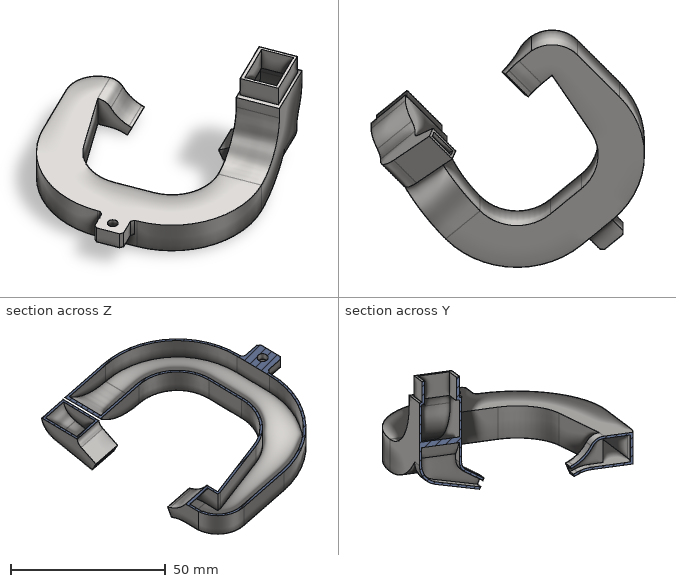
import cadquery as cq
import math


ring_half_width = 37.9
ring_height = 11.0
arm_width = 15.0
bend_radius = 31.1
inner_bend_radius = bend_radius - arm_width
bend_center_x = ring_half_width - bend_radius
arm_back = 31.4
arm_inner_x = ring_half_width - arm_width
wall = 1.0

tip_radius = 11.0
tip_x = -ring_half_width + tip_radius
tip_front = arm_back - tip_radius

tower_back = 35.9
sweep_radius = 15.85
tower_front = sweep_radius
collar_height = 4.1
collar_top = sweep_radius + collar_height
back_bulge_share = 2 / 3

neck_height = 7.05
neck_width = 13.3
neck_depth = 16.8
neck_side_step = 0.75
neck_x = arm_inner_x + neck_side_step + neck_width / 2
bore_width = 11.0
bore_depth = 14.85
bore_x = (arm_inner_x + ring_half_width) / 2

vane_thickness = 0.8
vane_inner_radius = sweep_radius + ring_height - wall
vane_outer_radius = vane_inner_radius + vane_thickness

outlet_angle = math.radians(23)
outlet_height = 4.0
outlet_low_x = 16.6
nozzle_drop = 1.5
outlet_low_z = -ring_height - nozzle_drop
outlet_high_x = outlet_low_x - outlet_height * math.sin(outlet_angle)
outlet_high_z = outlet_low_z + outlet_height * math.cos(outlet_angle)
left_crown_radius = 5.2
left_steepest_angle = math.radians(60)
left_underside_radius = 11.4
left_lip_length = 1.05
right_roof_angle = math.radians(31)
right_roof_radius = 3.5
right_floor_radius = 7.6

tab_width = 10.0
tab_length = 7.95
tab_thickness = 6.0
tab_chamfer = 1.0
hole_diameter = 3.3
hole_depth = 5.0
hole_distance = 3.9
hole_y = -bend_radius - hole_distance


def box(x_range, y_range, z_range):
    """Axis-aligned box between the given limits."""
    size = [high - low for low, high in (x_range, y_range, z_range)]
    corner = (x_range[0], y_range[0], z_range[0])
    return cq.Workplane("XY").box(*size, centered=False).translate(corner)


def along_x(profile, x_start, x_end):
    """Extrude a YZ profile between two X positions."""
    return profile.extrude(x_end - x_start).translate((x_start, 0, 0))


def along_y(profile, y_start, y_end):
    """Extrude an XZ profile between two Y positions."""
    return profile.extrude(y_start - y_end).translate((0, y_start, 0))


def polar(center, radius, angle):
    """Point on a circle, with the angle in radians."""
    return (center[0] + radius * math.cos(angle), center[1] + radius * math.sin(angle))


def ring_outline(inset):
    """Plan of the C moved inward by the inset; the left arm slants, tangent to the inner bend."""
    left_center = (-bend_center_x, 0)
    right_center = (bend_center_x, 0)
    tip_center = (tip_x, tip_front)
    to_tip = math.atan2(tip_front, tip_x + bend_center_x)
    tangent_angle = to_tip + math.acos(inner_bend_radius / math.dist(tip_center, left_center))
    mid_angle = (tangent_angle + 1.5 * math.pi) / 2
    diagonal = math.radians(45)
    side_x = ring_half_width - inset
    inner_x = arm_inner_x + inset
    back = arm_back - inset
    outer_radius = bend_radius - inset
    inner_radius = inner_bend_radius + inset
    corner_radius = tip_radius - inset
    return (
        cq.Workplane("XY")
        .moveTo(side_x, back)
        .lineTo(side_x, 0)
        .threePointArc(polar(right_center, outer_radius, -diagonal), (bend_center_x, -outer_radius))
        .lineTo(-bend_center_x, -outer_radius)
        .threePointArc(polar(left_center, outer_radius, 5 * diagonal), (-side_x, 0))
        .lineTo(-side_x, tip_front)
        .threePointArc(polar(tip_center, corner_radius, 3 * diagonal), (tip_x, back))
        .lineTo(*polar(tip_center, inset, tangent_angle))
        .lineTo(*polar(left_center, inner_radius, tangent_angle))
        .threePointArc(polar(left_center, inner_radius, mid_angle), (-bend_center_x, -inner_radius))
        .lineTo(bend_center_x, -inner_radius)
        .threePointArc(polar(right_center, inner_radius, -diagonal), (inner_x, 0))
        .lineTo(inner_x, back)
        .close()
    )


def tower_profile(front, bottom):
    """Side shape of the tower: S-curved back, quarter-round front sweeping into the ring."""
    back_step = tower_back - arm_back
    turn = 2 * math.atan2(back_step, sweep_radius)
    radius_sum = sweep_radius / math.sin(turn)
    upper_radius = radius_sum * back_bulge_share
    lower_radius = radius_sum - upper_radius
    upper_center = (tower_back - upper_radius, sweep_radius)
    lower_center = (arm_back + lower_radius, 0)
    outline = (
        cq.Workplane("YZ")
        .moveTo(tower_back, collar_top)
        .lineTo(tower_back, sweep_radius)
        .threePointArc(polar(upper_center, upper_radius, -turn / 2), polar(upper_center, upper_radius, -turn))
        .threePointArc(polar(lower_center, lower_radius, math.pi - turn / 2), (arm_back, 0))
        .lineTo(arm_back, bottom)
        .lineTo(front, bottom)
        .lineTo(front, 0)
    )
    if front < 0:
        outline = outline.lineTo(0, 0)
    return (
        outline
        .threePointArc(polar((0, sweep_radius), sweep_radius, math.radians(-45)), (tower_front, sweep_radius))
        .lineTo(tower_front, collar_top)
        .close()
    )


def left_nozzle_profile(root_x, extension):
    """Left nozzle: rounded crown, hollow slope and underside bending down to the outlet."""
    high = (-outlet_high_x, outlet_high_z)
    low = (-outlet_low_x, outlet_low_z)
    lip_start = polar(high, -left_lip_length, -outlet_angle)
    crown_center = (tip_x, -left_crown_radius)
    crown_end = polar(crown_center, left_crown_radius, math.pi / 2 - left_steepest_angle)
    bend_run = left_underside_radius * math.sin(outlet_angle)
    bend_drop = left_underside_radius * (1 - math.cos(outlet_angle))
    straight_run = (nozzle_drop - bend_drop) / math.tan(outlet_angle)
    bend_start = -outlet_low_x - straight_run - bend_run
    bend_center = (bend_start, -ring_height - left_underside_radius)
    bend_mid = polar(bend_center, left_underside_radius, (math.pi - outlet_angle) / 2)
    bend_end = polar(bend_center, left_underside_radius, math.pi / 2 - outlet_angle)
    crown_mid = polar(crown_center, left_crown_radius, (math.pi - left_steepest_angle) / 2)
    return (
        cq.Workplane("XZ")
        .moveTo(root_x, 0)
        .lineTo(tip_x, 0)
        .threePointArc(crown_mid, crown_end)
        .tangentArcPoint(lip_start, relative=False)
        .lineTo(*polar(high, extension, -outlet_angle))
        .lineTo(*polar(low, extension, -outlet_angle))
        .lineTo(*bend_end)
        .threePointArc(bend_mid, (bend_start, -ring_height))
        .lineTo(root_x, -ring_height)
        .close()
    )


def right_nozzle_profile(top, extension):
    """Right nozzle with the column above it: sloped roof rounded into the inner side of the arm."""
    floor_angle = math.atan2(nozzle_drop, arm_inner_x - outlet_low_x)
    roof_reach = extension / math.cos(right_roof_angle - outlet_angle)
    floor_reach = extension / math.cos(outlet_angle - floor_angle)
    roof_tip = polar((outlet_high_x, outlet_high_z), -roof_reach, right_roof_angle)
    floor_tip = polar((outlet_low_x, outlet_low_z), -floor_reach, floor_angle)
    roof_corner_z = outlet_high_z + (arm_inner_x - outlet_high_x) * math.tan(right_roof_angle)
    floor_corner_z = outlet_low_z + (ring_half_width - outlet_low_x) * math.tan(floor_angle)
    roof_setback = right_roof_radius * math.tan((math.pi / 2 - right_roof_angle) / 2)
    floor_setback = right_floor_radius * math.tan((math.pi / 2 - floor_angle) / 2)
    roof_end = polar((arm_inner_x, roof_corner_z), -roof_setback, right_roof_angle)
    floor_end = polar((ring_half_width, floor_corner_z), -floor_setback, floor_angle)
    return (
        cq.Workplane("XZ")
        .moveTo(*floor_tip)
        .lineTo(*roof_tip)
        .lineTo(*roof_end)
        .tangentArcPoint((arm_inner_x, roof_corner_z + roof_setback), relative=False)
        .lineTo(arm_inner_x, top)
        .lineTo(ring_half_width, top)
        .lineTo(ring_half_width, floor_corner_z + floor_setback)
        .tangentArcPoint(floor_end, relative=False)
        .close()
    )


def mounting_tab():
    """Flat lug on the front of the ring, flared at its root and chamfered at its end."""
    half = tab_width / 2
    root = -bend_radius
    end = root - tab_length
    right_side = [
        (half + tab_chamfer, root),
        (half, root - tab_chamfer),
        (half, end + tab_chamfer),
        (half - tab_chamfer, end),
    ]
    left_side = [(-x, y) for x, y in reversed(right_side)]
    overlap = [(-half, root + wall), (half, root + wall)]
    return cq.Workplane("XY").polyline(right_side + left_side + overlap).close().extrude(-tab_thickness)


def neck_block(width, depth, bottom, center_x):
    """Rectangular block centred on the tower depth, up to the top of the neck."""
    center_y = (tower_back + tower_front) / 2
    x_range = (center_x - width / 2, center_x + width / 2)
    y_range = (center_y - depth / 2, center_y + depth / 2)
    return box(x_range, y_range, (bottom, collar_top + neck_height))


def sweep_cylinder(radius):
    """Cylinder along X about the centre line of the quarter-round tower front."""
    return along_x(cq.Workplane("YZ").center(0, sweep_radius).circle(radius), 0, ring_half_width)


def tower_elbow(profile, radius, x_start, x_end):
    """Tower above the sweep centre, turned below it into the ring within the given radius."""
    above_bend = box((0, ring_half_width), (0, tower_back), (sweep_radius, collar_top))
    return along_x(profile, x_start, x_end).intersect(sweep_cylinder(radius).union(above_bend))


right_arm_space = box((0, ring_half_width), (0, arm_back), (-ring_height, 0))


def outer_body():
    """Solid envelope of the duct."""
    elbow_radius = sweep_radius + ring_height
    right_nozzle = along_y(right_nozzle_profile(sweep_radius, 0), tip_front, tower_back)
    behind_elbow = along_x(tower_profile(0, 2 * outlet_low_z), 0, ring_half_width)
    return (
        ring_outline(0).extrude(-ring_height)
        .cut(right_arm_space)
        .union(tower_elbow(tower_profile(0, -ring_height), elbow_radius, arm_inner_x, ring_half_width))
        .union(right_nozzle.intersect(behind_elbow))
        .union(neck_block(neck_width, neck_depth, sweep_radius, neck_x))
        .union(along_y(left_nozzle_profile(tip_x - wall, 0), tip_front, arm_back))
        .union(mounting_tab())
    )


def main_passage():
    """Hollow of the tower ahead of the guide vane and of the ring up to the left nozzle."""
    elbow_profile = tower_profile(-wall, -ring_height).offset2D(-wall)
    ring_hollow = ring_outline(wall).extrude(2 * wall - ring_height).translate((0, 0, -wall))
    left_profile = left_nozzle_profile(tip_x - 3 * wall, wall).offset2D(-wall)
    return (
        tower_elbow(elbow_profile, vane_inner_radius, arm_inner_x + wall, ring_half_width - wall)
        .union(ring_hollow.cut(right_arm_space))
        .union(along_y(left_profile, tip_front + wall, arm_back - wall))
        .union(neck_block(bore_width, bore_depth, sweep_radius, bore_x))
    )


def right_nozzle_passage():
    """Hollow behind the guide vane, leading from the tower down to the right nozzle."""
    column_profile = right_nozzle_profile(sweep_radius + wall, wall).offset2D(-wall)
    column = along_y(column_profile, tip_front + wall, tower_back)
    back_profile = tower_profile(-wall, 2 * outlet_low_z).offset2D(-wall)
    behind_elbow = along_x(back_profile, 0, ring_half_width)
    return column.intersect(behind_elbow).cut(sweep_cylinder(vane_outer_radius))


def vane_nose():
    """Rounded top edge of the guide vane."""
    nose_y = (vane_inner_radius + vane_outer_radius) / 2
    nose = cq.Workplane("YZ").center(nose_y, sweep_radius).circle(vane_thickness / 2)
    return along_x(nose, arm_inner_x + wall / 2, ring_half_width - wall / 2)


tab_hole = cq.Workplane("XY").center(0, hole_y).circle(hole_diameter / 2).extrude(-hole_depth)

result = (
    outer_body()
    .cut(main_passage())
    .cut(right_nozzle_passage())
    .cut(tab_hole)
    .union(vane_nose())
    .solids()
)